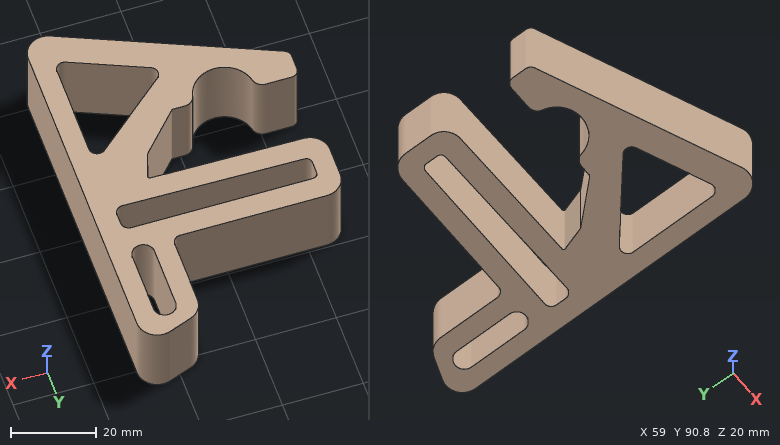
import cadquery as cq
import math

width = 59.0
height = 90.75
thickness = 20.0

outer_radius = 5.0
inner_radius = 2.0
slot_left_radius = 1.45
neck_radius = 0.45
shoulder_radius = 2.7

post_left = 43.3
top_angle = math.radians(20)
post_slot_x = 51.2
post_slot_width = 5.4
post_slot_bottom = 64.5
post_slot_top = 85.7

arm_top = 64.8
arm_bottom_left = 47.4
arm_bottom_right = 46.8
arm_slot_left = 5.2
arm_slot_right = 53.45
arm_slot_top = 59.1
arm_slot_bottom_left = 53.1
arm_slot_bottom_right = 52.4

throat_bend = (41.1, 40.0)
ledge_end = 31.6

ledge_height = 29.7
base_angle = math.radians(23)
seat_x = 18.4
seat_radius = 7.5
seat_bottom = 21.6

window_right = 53.7
window_bottom = 7.6
window_top = 38.7
window_angle = math.radians(40.7)


def corner_rise(angle):
    """Height of a sloped side's sharp corner above its rounded corner's center."""
    return outer_radius * (1 / math.cos(angle) + math.tan(angle))


def prism(points):
    return cq.Workplane("XY").polyline(points).close().extrude(thickness)


def round_corner(body, point, radius):
    """Round the vertical edge standing at the given point."""
    x, y = point
    tolerance = 0.045
    box = cq.selectors.BoxSelector(
        (x - tolerance, y - tolerance, -0.9),
        (x + tolerance, y + tolerance, thickness + 0.9),
    )
    return body.edges("|Z").edges(box).fillet(radius)


def rounded_prism(corners):
    """Extrude an outline of (point, radius) corners; a zero radius stays sharp."""
    body = prism([point for point, _ in corners])
    for point, radius in corners:
        if radius > 0:
            body = round_corner(body, point, radius)
    return body


def frame():
    top_right = height - outer_radius + corner_rise(top_angle)
    top_left = top_right - (width - post_left) * math.tan(top_angle)
    base_right = outer_radius - corner_rise(base_angle)
    base_left = base_right + width * math.tan(base_angle)
    return rounded_prism([
        ((width, base_right), outer_radius),
        ((width, top_right), outer_radius),
        ((post_left, top_left), outer_radius),
        ((post_left, arm_top), inner_radius),
        ((0, arm_top), outer_radius),
        ((0, arm_bottom_left), outer_radius),
        ((post_left, arm_bottom_right), neck_radius),
        (throat_bend, 0),
        ((ledge_end, ledge_height), neck_radius),
        ((0, ledge_height), inner_radius),
        ((0, base_left), inner_radius),
    ])


def cut_seat(body):
    seat_y = seat_bottom + seat_radius
    seat = cq.Workplane("XY").center(seat_x, seat_y).circle(seat_radius).extrude(thickness)
    body = body.cut(seat)
    half_opening = math.sqrt(seat_radius**2 - (ledge_height - seat_y) ** 2)
    for side in (-1, 1):
        shoulder = (seat_x + side * half_opening, ledge_height)
        body = round_corner(body, shoulder, shoulder_radius)
    return body


def post_slot():
    middle = (post_slot_bottom + post_slot_top) / 2
    length = post_slot_top - post_slot_bottom
    return (
        cq.Workplane("XY")
        .center(post_slot_x, middle)
        .slot2D(length, post_slot_width, 90)
        .extrude(thickness)
    )


def arm_slot():
    return rounded_prism([
        ((arm_slot_left, arm_slot_top), slot_left_radius),
        ((arm_slot_right, arm_slot_top), inner_radius),
        ((arm_slot_right, arm_slot_bottom_right), inner_radius),
        ((arm_slot_left, arm_slot_bottom_left), slot_left_radius),
    ])


def window():
    side_height = window_top - window_bottom
    depth = side_height / (math.tan(base_angle) + math.tan(window_angle))
    tip = (window_right - depth, window_bottom + depth * math.tan(base_angle))
    return rounded_prism([
        ((window_right, window_bottom), inner_radius),
        ((window_right, window_top), inner_radius),
        (tip, inner_radius),
    ])


result = cut_seat(frame()).cut(post_slot()).cut(arm_slot()).cut(window())